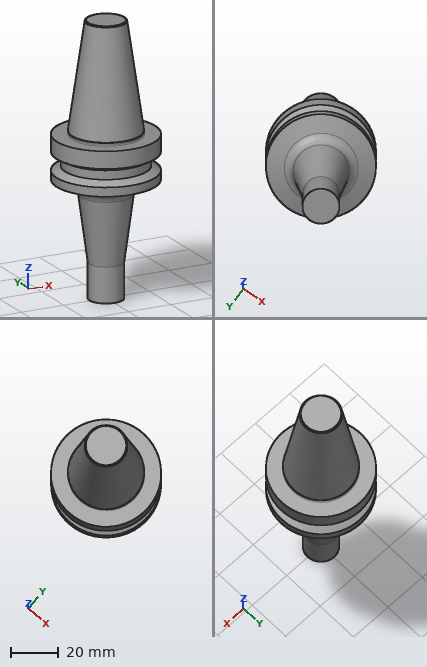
import cadquery as cq

length = 122.4

taper_ratio = 7 / 24
taper_length = 48.7
taper_large_diameter = 32.0
taper_small_diameter = taper_large_diameter - taper_ratio * taper_length
tip_chamfer = 0.5

relief_diameter = 31.3
relief_bevel_height = 0.4
relief_height = 1.5
relief_fillet_radius = 0.4

flange_diameter = 46.0
flange_upper_rim = 7.7
groove_diameter = 38.0
groove_floor_height = 4.0
groove_wall_height = 2.1
flange_lower_rim = 4.0

underside_height = 2.9
body_large_diameter = 24.4
body_fillet_radius = 5.0

nose_diameter = 15.4
nose_height = 16.2

taper_base = length - taper_length
relief_top = taper_base - relief_bevel_height
flange_top = taper_base - relief_height
groove_top = flange_top - flange_upper_rim
groove_floor_top = groove_top - groove_wall_height
groove_floor_bottom = groove_floor_top - groove_floor_height
groove_bottom = groove_floor_bottom - groove_wall_height
flange_bottom = groove_bottom - flange_lower_rim
body_top = flange_bottom - underside_height

profile_corners = [
    (nose_diameter, 0),
    (nose_diameter, nose_height),
    (body_large_diameter, body_top),
    (flange_diameter, flange_bottom),
    (flange_diameter, groove_bottom),
    (groove_diameter, groove_floor_bottom),
    (groove_diameter, groove_floor_top),
    (flange_diameter, groove_top),
    (flange_diameter, flange_top),
    (relief_diameter, flange_top),
    (relief_diameter, relief_top),
    (taper_large_diameter, taper_base),
    (taper_small_diameter, length),
]

half_profile = [(diameter / 2, height) for diameter, height in profile_corners]
holder = (
    cq.Workplane("XZ")
    .polyline([(0, 0)] + half_profile + [(0, length)])
    .close()
    .revolve(360, (0, 0, 0), (0, 1, 0))
)

def fillet_ring(solid, diameter, height, radius):
    """Fillet the circular edge of the given diameter and height."""
    tolerance = 0.01

    def is_ring(edge):
        same_height = abs(edge.Center().z - height) < tolerance
        return same_height and abs(edge.radius() - diameter / 2) < tolerance

    return solid.edges("%CIRCLE").filter(is_ring).fillet(radius)


holder = fillet_ring(holder, body_large_diameter, body_top, body_fillet_radius)
holder = fillet_ring(holder, relief_diameter, flange_top, relief_fillet_radius)

result = holder.faces(">Z").edges().chamfer(tip_chamfer)